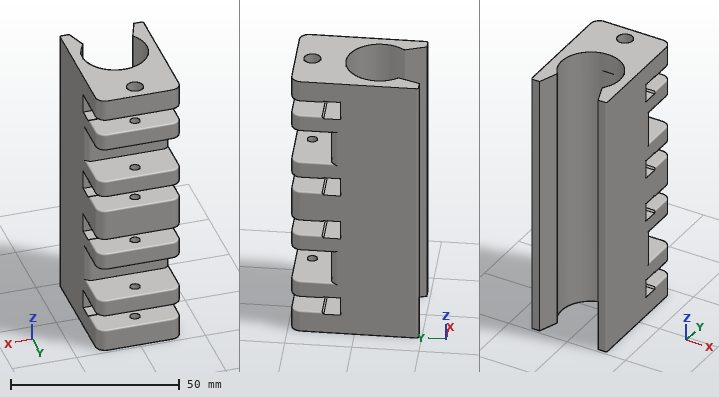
import cadquery as cq
import math

width = 26.0
depth = 38.0
height = 88.0
back_y = depth / 2
corner_radius = 3.0
edge_radius = 0.5

bore_radius = 10.0
bore_from_back = 25.1
throat_half_width = 7.7
mouth_half_width = 10.0
throat_radius = 0.8
bore_y = back_y - bore_from_back
throat_y = bore_y - math.sqrt(bore_radius**2 - throat_half_width**2)
front_edge_radius = 0.6

group_offset = 21.0
narrow_offset = 13.5
narrow_gap = 5.0
narrow_depth = 14.9
relief_step = 0.5
relief_start = 9.3
wide_gap = 11.0
wide_depth = 12.0
wide_floor_radius = 2.0

screw_from_back = 5.0
screw_diameter = 3.0
head_diameter = 5.0
head_depth = 4.4


def make_body():
    """Block with rounded vertical back corners and outer front edges."""
    block = cq.Workplane("XY").box(width, depth, height)
    block = block.edges("|Z and >Y").fillet(corner_radius)
    return block.edges("|Z and <Y").fillet(front_edge_radius)


def make_clip_opening():
    """Round bore with a throat that flares towards the front face."""
    return (
        cq.Workplane("XY")
        .workplane(offset=-height / 2)
        .moveTo(-mouth_half_width, -back_y)
        .lineTo(-throat_half_width, throat_y)
        .threePointArc((0, bore_y + bore_radius), (throat_half_width, throat_y))
        .lineTo(mouth_half_width, -back_y)
        .close()
        .extrude(height)
    )


def round_throat(body):
    """Soften the two vertical edges where the bore meets the flared mouth."""
    for side in (-1, 1):
        throat_point = (side * throat_half_width, throat_y, 0)
        throat_edge = cq.selectors.NearestToPointSelector(throat_point)
        body = body.edges(throat_edge).fillet(throat_radius)
    return body


def make_narrow_slot(z):
    """Slot through the width that widens by a sloped step near its floor."""
    half_gap = narrow_gap / 2
    half_relief = half_gap + relief_step
    start_y = back_y - relief_start
    full_y = start_y - relief_step
    floor_y = back_y - narrow_depth
    upper = [(back_y, half_gap), (start_y, half_gap), (full_y, half_relief), (floor_y, half_relief)]
    lower = [(y, -half_opening) for y, half_opening in reversed(upper)]
    return (
        cq.Workplane("YZ", origin=(0, 0, z))
        .polyline(upper + lower)
        .close()
        .extrude(width / 2, both=True)
    )


def make_wide_slot(z):
    """Slot whose floor curves away to both sides of the block."""
    half_width = width / 2
    floor_y = back_y - wide_depth
    side_y = floor_y - wide_floor_radius
    flat_half = half_width - wide_floor_radius
    diagonal = wide_floor_radius * math.sqrt(0.5)
    return (
        cq.Workplane("XY", origin=(0, 0, z - wide_gap / 2))
        .moveTo(-half_width, back_y)
        .lineTo(-half_width, side_y)
        .threePointArc((-flat_half - diagonal, side_y + diagonal), (-flat_half, floor_y))
        .lineTo(flat_half, floor_y)
        .threePointArc((flat_half + diagonal, side_y + diagonal), (half_width, side_y))
        .lineTo(half_width, back_y)
        .close()
        .extrude(wide_gap)
    )


def round_slot_mouth(body, z, gap):
    """Round the slot's rims along both sides, the back corners and the back face."""
    rim_margin = 0.1
    rim_front_y = back_y - relief_start + rim_margin
    for end in (-1, 1):
        rim_z = z + end * gap / 2
        rim = cq.selectors.BoxSelector(
            (-width, rim_front_y, rim_z - rim_margin),
            (width, depth, rim_z + rim_margin),
        )
        body = body.edges(rim).fillet(edge_radius)
    return body


def cut_screw_hole(body):
    """Through hole along Z, counterbored from the top face."""
    return (
        body.faces(">Z")
        .workplane(origin=(0, back_y - screw_from_back, 0))
        .cboreHole(screw_diameter, head_diameter, head_depth)
    )


body = make_body().cut(make_clip_opening())
body = round_throat(body)

for group_z in (-group_offset, group_offset):
    body = body.cut(make_wide_slot(group_z))
    body = round_slot_mouth(body, group_z, wide_gap)
    for side in (-1, 1):
        narrow_z = group_z + side * narrow_offset
        body = body.cut(make_narrow_slot(narrow_z))
        body = round_slot_mouth(body, narrow_z, narrow_gap)

result = cut_screw_hole(body)